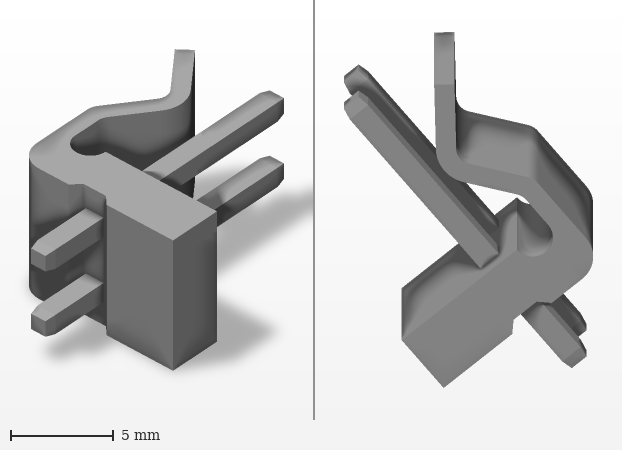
import cadquery as cq
import math

height = 7.92
right_end = 5.6
wall_left = -4.68
base_depth = 3.2
wall_thickness = 1.0
front_corner_radius = 1.5

slot_radius = 1.0

groove_depth = 0.52
groove_mouth_width = 2.5
groove_floor_width = groove_mouth_width - 2 * groove_depth

wall_center = wall_left + wall_thickness / 2
wall_bend = (wall_center, 5.32)
inward_bend = (-1.74, 8.61)
clip_tip = (-4.42, 12.0)
wall_bend_radius = 0.9
inward_bend_inner_radius = 0.8
inward_bend_outer_radius = inward_bend_inner_radius + wall_thickness

pin_width = 1.17
pin_tip_width = 0.94
pin_taper = 0.6
pin_length = 17.4
pin_front = -3.6
pin_pitch = 3.97


def left_normal(start, end):
    """Unit vector pointing to the left of the line from start to end."""
    length = math.dist(start, end)
    return (start[1] - end[1]) / length, (end[0] - start[0]) / length


def offset_path(points, distance):
    """Corner points of an open path moved sideways to its left."""
    normals = [left_normal(a, b) for a, b in zip(points, points[1:])]
    before = [normals[0]] + normals
    after = normals + [normals[-1]]
    moved = []
    for (x, y), n, m in zip(points, before, after):
        miter = distance / (1 + n[0] * m[0] + n[1] * m[1])
        moved.append((x + miter * (n[0] + m[0]), y + miter * (n[1] + m[1])))
    return moved


def extrude_height(sketch):
    return sketch.extrude(height / 2, both=True)


def round_corner(body, corner, radius):
    """Round the upright edge at a corner point of the outline."""
    nearest = cq.selectors.NearestToPointSelector((corner[0], corner[1], 0))
    return body.edges("|Z").edges(nearest).fillet(radius)


def make_clip():
    path = [(wall_center, base_depth), wall_bend, inward_bend, clip_tip]
    left = offset_path(path, wall_thickness / 2)
    right = offset_path(path, -wall_thickness / 2)
    clip = extrude_height(cq.Workplane("XY").polyline(left + right[::-1]).close())
    for side in (left, right):
        clip = round_corner(clip, side[1], wall_bend_radius)
    clip = round_corner(clip, left[2], inward_bend_inner_radius)
    return round_corner(clip, right[2], inward_bend_outer_radius)


def make_base():
    slot_left = wall_left + wall_thickness
    outline = (
        cq.Workplane("XY")
        .moveTo(wall_left, 0)
        .lineTo(-groove_mouth_width / 2, 0)
        .lineTo(-groove_floor_width / 2, groove_depth)
        .lineTo(groove_floor_width / 2, groove_depth)
        .lineTo(groove_mouth_width / 2, 0)
        .lineTo(right_end, 0)
        .lineTo(right_end, base_depth)
        .lineTo(slot_left + 2 * slot_radius, base_depth)
        .threePointArc((slot_left + slot_radius, base_depth - slot_radius), (slot_left, base_depth))
        .lineTo(wall_left, base_depth)
        .close()
    )
    return round_corner(extrude_height(outline), (wall_left, 0), front_corner_radius)


def make_pin(z):
    """Square pin along Y, narrowed at both ends."""
    plane = cq.Workplane("XZ", origin=(0, pin_front + pin_taper, z))
    shank = plane.rect(pin_width, pin_width).extrude(-(pin_length - 2 * pin_taper))
    slope = math.degrees(math.atan((pin_width - pin_tip_width) / 2 / pin_taper))
    for face in ("<Y", ">Y"):
        end = shank.faces(face).workplane()
        shank = end.rect(pin_width, pin_width).extrude(pin_taper, taper=slope)
    return shank


result = make_base().union(make_clip())
for pin_z in (-pin_pitch / 2, pin_pitch / 2):
    result = result.union(make_pin(pin_z))
result = result.clean()